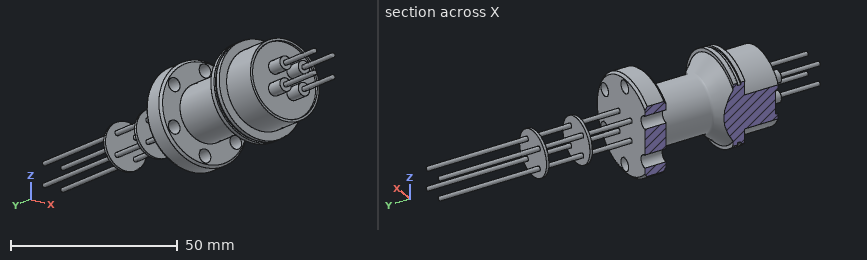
import cadquery as cq
import math

total_length = 133.4

flange_diameter = 33.7
flange_radius = flange_diameter / 2
flange_thickness = 7.5
flange_chamfer = 0.8
bolt_count = 6
bolt_circle_radius = 13.5
bolt_hole_diameter = 4.4
first_bolt_angle = 180 / bolt_count

neck_radius = 9.5
neck_length = 17.9
neck_bend_radius = 1.1
cone_length = 5.6
cone_front_radius = 14.7
lip_radius = 15.9
lip_rear_thickness = 1.6
lip_groove_width = 1.1
lip_groove_radius = 15.3
lip_front_thickness = 1.5

header_radius = 13.1
header_length = 11.7
header_recess_radius = 12.3
header_recess_depth = 0.8

pin_radius = 0.8
pin_offset = 3.5
pin_front_length = 19.3
pin_tip_radius = 0.3
sleeve_radius = 2.1
sleeve_length = 4.8

spacer_radius = 7.9
spacer_thickness = 1.0
spacer_centres = (16.5, 31.7)

neck_front = -flange_thickness - neck_length
cone_front = neck_front - cone_length
groove_rear = cone_front - lip_rear_thickness
groove_front = groove_rear - lip_groove_width
lip_front = groove_front - lip_front_thickness
header_front = lip_front - header_length
recess_floor = header_front + header_recess_depth
pin_front = header_front - pin_front_length
pin_rear = pin_front + total_length

flare_angle = math.atan2(cone_front_radius - neck_radius, cone_length)
bend_setback = neck_bend_radius * math.tan(flare_angle / 2)
bend_rear = neck_front + bend_setback
bend_front = bend_rear - neck_bend_radius * math.sin(flare_angle)
bend_rise = neck_bend_radius * (1 - math.cos(flare_angle))

pin_positions = [(x, z) for x in (-pin_offset, pin_offset) for z in (-pin_offset, pin_offset)]


def cylinder(radius, y_front, y_rear, x=0, z=0):
    """Cylinder parallel to Y, centred on (x, z)."""
    direction = cq.Vector(0, 1, 0)
    return cq.Workplane(cq.Solid.makeCylinder(radius, y_rear - y_front, cq.Vector(x, y_front, z), direction))


def make_flange():
    flange = cylinder(flange_radius, -flange_thickness, 0).edges().chamfer(flange_chamfer)
    bolt_holes = (
        cq.Workplane("XZ")
        .polarArray(bolt_circle_radius, first_bolt_angle, 360, bolt_count)
        .circle(bolt_hole_diameter / 2)
        .extrude(flange_thickness)
    )
    return flange.cut(bolt_holes)


def make_body():
    """Neck, cone, grooved lip and recessed header as one turned profile."""
    profile = (
        cq.Workplane("XY")
        .moveTo(0, -flange_thickness)
        .lineTo(neck_radius, -flange_thickness)
        .lineTo(neck_radius, bend_rear)
        .radiusArc((neck_radius + bend_rise, bend_front), -neck_bend_radius)
        .lineTo(cone_front_radius, cone_front)
        .lineTo(lip_radius, cone_front)
        .lineTo(lip_radius, groove_rear)
        .lineTo(lip_groove_radius, groove_rear)
        .lineTo(lip_groove_radius, groove_front)
        .lineTo(lip_radius, groove_front)
        .lineTo(lip_radius, lip_front)
        .lineTo(header_radius, lip_front)
        .lineTo(header_radius, header_front)
        .lineTo(header_recess_radius, header_front)
        .lineTo(header_recess_radius, recess_floor)
        .lineTo(0, recess_floor)
        .close()
    )
    return profile.revolve(360, (0, 0, 0), (0, 1, 0))


def make_pin(x, z):
    pin = cylinder(pin_radius, pin_front, pin_rear, x, z).edges().fillet(pin_tip_radius)
    sleeve = cylinder(sleeve_radius, header_front - sleeve_length, recess_floor, x, z)
    return sleeve.union(pin)


result = make_flange().union(make_body())
half_thickness = spacer_thickness / 2
for spacer_y in spacer_centres:
    result = result.union(cylinder(spacer_radius, spacer_y - half_thickness, spacer_y + half_thickness))
for pin_x, pin_z in pin_positions:
    result = result.union(make_pin(pin_x, pin_z))